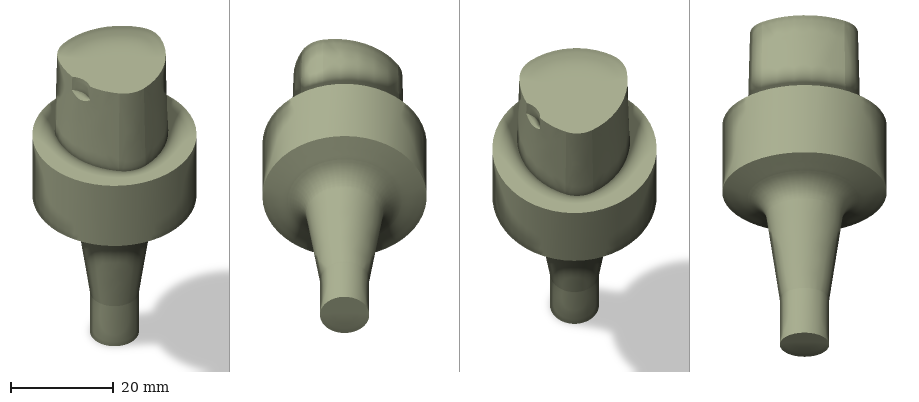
import cadquery as cq
import math


SHANK_LENGTH = 19.0
SHANK_TAPER = math.degrees(math.atan(1 / 40))
LOBE_COUNT = 3
LOBE_RADIUS = 6.1
LOBE_CENTRE_DISTANCE = 5.65
FLANK_CENTRE_DISTANCE = 4.6

NOTCH_DIAMETER = 8.0
NOTCH_WALL_Y = -9.0
NOTCH_DEPTH = 3.3
NOTCH_POINT_ANGLE = 90.0

COLLAR_DIAMETER = 32.0
COLLAR_HEIGHT = 15.0
COLLAR_UNDERSIDE_ANGLE = 15.0

TIP_DIAMETER = 9.6
TIP_LENGTH = 10.0
NECK_BOTTOM_Z = -39.0
NECK_SIDE_ANGLE = 8.0
NECK_FILLET = 5.0


def polar(radius, angle):
    """Point at a radius and an angle in degrees from +X."""
    return (radius * math.cos(math.radians(angle)), radius * math.sin(math.radians(angle)))


def offset(point, radius, angle):
    """Point at a polar offset from another point."""
    step_x, step_y = polar(radius, angle)
    return (point[0] + step_x, point[1] + step_y)


def make_shank():
    """Three rounded lobes joined by tangent flank arcs, narrowing upwards."""
    lobe_pitch = 360 / LOBE_COUNT
    half_pitch = lobe_pitch / 2

    flank_centre = polar(FLANK_CENTRE_DISTANCE, half_pitch + 180)
    link_x = LOBE_CENTRE_DISTANCE - flank_centre[0]
    link_y = -flank_centre[1]
    flank_radius = LOBE_RADIUS + math.hypot(link_x, link_y)
    seam_angle = math.degrees(math.atan2(link_y, link_x))
    lobe_reach = LOBE_CENTRE_DISTANCE + LOBE_RADIUS
    flank_reach = flank_radius - FLANK_CENTRE_DISTANCE

    first_lobe = 90
    first_centre = polar(LOBE_CENTRE_DISTANCE, first_lobe)
    outline = cq.Workplane("XY").moveTo(*offset(first_centre, LOBE_RADIUS, first_lobe - seam_angle))
    for index in range(LOBE_COUNT):
        lobe = first_lobe + index * lobe_pitch
        next_lobe = lobe + lobe_pitch
        lobe_centre = polar(LOBE_CENTRE_DISTANCE, lobe)
        next_centre = polar(LOBE_CENTRE_DISTANCE, next_lobe)
        lobe_end = offset(lobe_centre, LOBE_RADIUS, lobe + seam_angle)
        flank_end = offset(next_centre, LOBE_RADIUS, next_lobe - seam_angle)
        outline = outline.threePointArc(polar(lobe_reach, lobe), lobe_end)
        outline = outline.threePointArc(polar(flank_reach, lobe + half_pitch), flank_end)
    return outline.close().extrude(SHANK_LENGTH, taper=SHANK_TAPER)


def make_body():
    """Collar, filleted conical neck and cylindrical tip as one revolved profile."""
    collar_radius = COLLAR_DIAMETER / 2
    tip_radius = TIP_DIAMETER / 2
    tip_bottom_z = NECK_BOTTOM_Z - TIP_LENGTH
    underside_slope = math.tan(math.radians(COLLAR_UNDERSIDE_ANGLE))
    side_slope = math.tan(math.radians(NECK_SIDE_ANGLE))

    underside_shift = NECK_FILLET / math.cos(math.radians(COLLAR_UNDERSIDE_ANGLE))
    side_shift = NECK_FILLET / math.cos(math.radians(NECK_SIDE_ANGLE))
    axis_height = -underside_slope * collar_radius - COLLAR_HEIGHT - underside_shift - NECK_BOTTOM_Z
    centre_height = axis_height + underside_slope * (tip_radius + side_shift)
    centre_height /= 1 - underside_slope * side_slope
    centre = (tip_radius + side_shift + side_slope * centre_height, NECK_BOTTOM_Z + centre_height)

    underside_normal = 90 + COLLAR_UNDERSIDE_ANGLE
    side_normal = 180 - NECK_SIDE_ANGLE
    fillet_top = offset(centre, NECK_FILLET, underside_normal)
    fillet_middle = offset(centre, NECK_FILLET, (underside_normal + side_normal) / 2)
    fillet_bottom = offset(centre, NECK_FILLET, side_normal)

    profile = (
        cq.Workplane("XZ")
        .moveTo(0, 0)
        .lineTo(collar_radius, 0)
        .lineTo(collar_radius, -COLLAR_HEIGHT)
        .lineTo(*fillet_top)
        .threePointArc(fillet_middle, fillet_bottom)
        .lineTo(tip_radius, NECK_BOTTOM_Z)
        .lineTo(tip_radius, tip_bottom_z)
        .lineTo(0, tip_bottom_z)
        .close()
    )
    return profile.revolve(360, (0, 0, 0), (0, 1, 0))


def make_notch_cutter():
    """Cylinder with a conical point, standing on its axis in front of the -Y flank."""
    radius = NOTCH_DIAMETER / 2
    point_length = radius / math.tan(math.radians(NOTCH_POINT_ANGLE / 2))
    floor_z = SHANK_LENGTH - NOTCH_DEPTH
    profile = (
        cq.Workplane("XZ", origin=(0, NOTCH_WALL_Y - radius, 0))
        .moveTo(0, SHANK_LENGTH)
        .lineTo(radius, SHANK_LENGTH)
        .lineTo(radius, floor_z)
        .lineTo(0, floor_z - point_length)
        .close()
    )
    return profile.revolve(360, (0, 0, 0), (0, 1, 0))


result = make_body().union(make_shank()).cut(make_notch_cutter())